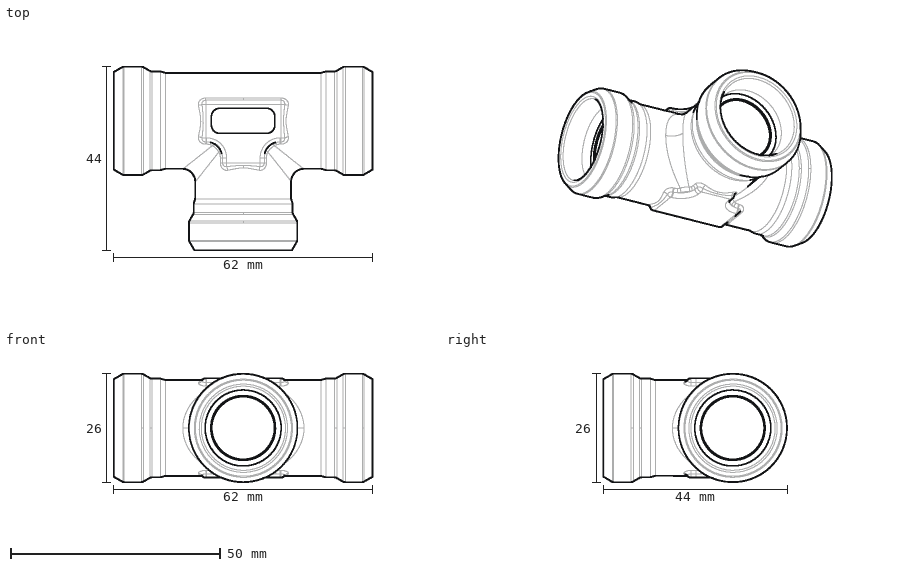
import cadquery as cq
import math

PORT_REACH = 31.0
PIPE_R = 23.0 / 2
NECK_R = 23.7 / 2
COLLAR_R = 26.0 / 2
BORE_R = 15.0 / 2
SEAT_R = 18.2 / 2

COLLAR_FRONT = 2.3
COLLAR_BACK = 6.9
NECK_END = 11.2
PIPE_START = 12.4
CONE_DEPTH = 5.0
SEAT_DEPTH = 7.5

COLLAR_SLOPE = math.radians(30)
CONE_HALF_ANGLE = math.radians(12)
BORE_CHAMFER = 0.25
FACE_ROUND = 0.3
COLLAR_FRONT_ROUND = 0.6
COLLAR_BACK_ROUND = 1.0
MOUTH_ROUND = 0.5
CROTCH_ROUND = 3.0

PAD_Z = 11.9
PAD_HALF_LENGTH = 10.0
PAD_HALF_WIDTH = 5.0
PAD_TONGUE_LENGTH = 11.0
PAD_INNER_R = 3.8
PAD_ROUND = 1.0
PAD_BLEND = 1.0
PAD_BASE_Z = PIPE_R / 2

RECESS_LENGTH = 15.2
RECESS_WIDTH = 6.0
RECESS_CORNER_R = 2.0
RECESS_DEPTH = 1.0

FACE_R = COLLAR_R - COLLAR_FRONT * math.tan(COLLAR_SLOPE)
NECK_START = COLLAR_BACK + (COLLAR_R - NECK_R) / math.tan(COLLAR_SLOPE)
MOUTH_R = SEAT_R + CONE_DEPTH * math.tan(CONE_HALF_ANGLE)

TOLERANCE = 0.01


def circles(body, height, radius):
    """Circular edges of a body of revolution about Z at one height and radius."""
    return body.newObject([
        edge for edge in body.edges("%CIRCLE").vals()
        if abs(edge.Center().z - height) < TOLERANCE and abs(edge.radius() - radius) < TOLERANCE
    ])


def revolve_about_z(outline):
    """Full revolution of a closed outline; its seam faces +Y, clear of the branch on the run arms."""
    return outline.close().revolve(360, (0, 0, 0), (0, 1, 0))


def arm_body():
    """Solid pipe arm from the tee centre up to the port face, with its collar."""
    body = revolve_about_z(cq.Workplane("YZ").polyline([
        (0, 0),
        (PIPE_R, 0),
        (PIPE_R, PORT_REACH - PIPE_START),
        (NECK_R, PORT_REACH - NECK_END),
        (NECK_R, PORT_REACH - NECK_START),
        (COLLAR_R, PORT_REACH - COLLAR_BACK),
        (COLLAR_R, PORT_REACH - COLLAR_FRONT),
        (FACE_R, PORT_REACH),
        (0, PORT_REACH),
    ]))
    body = circles(body, PORT_REACH - NECK_START, NECK_R).fillet(COLLAR_BACK_ROUND)
    body = circles(body, PORT_REACH - COLLAR_BACK, COLLAR_R).fillet(COLLAR_BACK_ROUND)
    body = circles(body, PORT_REACH - COLLAR_FRONT, COLLAR_R).fillet(COLLAR_FRONT_ROUND)
    return circles(body, PORT_REACH, FACE_R).fillet(FACE_ROUND)


def arm_cavity():
    """Bore, seat and conical mouth of one arm, with a rounded mouth edge."""
    tangent = MOUTH_ROUND * math.tan((math.pi / 2 - CONE_HALF_ANGLE) / 2)
    arc_centre = (MOUTH_R + tangent, PORT_REACH - MOUTH_ROUND)
    arc_start = (
        MOUTH_R - tangent * math.sin(CONE_HALF_ANGLE),
        PORT_REACH - tangent * math.cos(CONE_HALF_ANGLE),
    )
    middle_angle = (math.pi / 2 + math.pi - CONE_HALF_ANGLE) / 2
    arc_middle = (
        arc_centre[0] + MOUTH_ROUND * math.cos(middle_angle),
        arc_centre[1] + MOUTH_ROUND * math.sin(middle_angle),
    )
    outline = (
        cq.Workplane("YZ")
        .lineTo(BORE_R, 0)
        .lineTo(BORE_R, PORT_REACH - SEAT_DEPTH - BORE_CHAMFER)
        .lineTo(BORE_R + BORE_CHAMFER, PORT_REACH - SEAT_DEPTH)
        .lineTo(SEAT_R, PORT_REACH - SEAT_DEPTH)
        .lineTo(SEAT_R, PORT_REACH - CONE_DEPTH)
        .lineTo(*arc_start)
        .threePointArc(arc_middle, (arc_centre[0], PORT_REACH))
        .lineTo(0, PORT_REACH)
    )
    return revolve_about_z(outline)


def as_half_tee(arm):
    """Two copies of an arm built along Z, laid along +X and -Y."""
    run_arm = arm.rotate((0, 0, 0), (0, 1, 0), 90)
    branch = arm.rotate((0, 0, 0), (1, 0, 0), 90)
    return run_arm.union(branch)


def quarter_space():
    """Box that keeps the +X, +Z quarter of the part."""
    size = 2 * PORT_REACH
    return cq.Workplane("XY").box(size, 2 * size, size, centered=(False, True, False))


def half_pad():
    """The +X half of a raised T-shaped pad with rounded corners and rim."""
    arc_centre = PAD_HALF_WIDTH + PAD_INNER_R
    arc_middle = arc_centre - PAD_INNER_R * math.sqrt(0.5)
    block = (
        cq.Workplane("XY", origin=(0, 0, PAD_BASE_Z))
        .moveTo(0, PAD_HALF_WIDTH)
        .lineTo(PAD_HALF_LENGTH, PAD_HALF_WIDTH)
        .lineTo(PAD_HALF_LENGTH, -PAD_HALF_WIDTH)
        .lineTo(arc_centre, -PAD_HALF_WIDTH)
        .threePointArc((arc_middle, -arc_middle), (PAD_HALF_WIDTH, -arc_centre))
        .lineTo(PAD_HALF_WIDTH, -PAD_TONGUE_LENGTH)
        .lineTo(0, -PAD_TONGUE_LENGTH)
        .close()
        .extrude(PAD_Z - PAD_BASE_Z)
    )
    sharp_corners = (
        (PAD_HALF_LENGTH, PAD_HALF_WIDTH),
        (PAD_HALF_LENGTH, -PAD_HALF_WIDTH),
        (PAD_HALF_WIDTH, -PAD_TONGUE_LENGTH),
    )
    middle_z = (PAD_Z + PAD_BASE_Z) / 2
    for x, y in sharp_corners:
        corner_edge = block.edges(cq.NearestToPointSelector((x, y, middle_z)))
        block = corner_edge.fillet(PAD_ROUND)
    return block.faces(">Z").edges("not <X").fillet(PAD_ROUND)


def blend_pad_base(body):
    """Fillet the edges where the pad of the quarter body meets the pipe skin."""
    pad_box = cq.selectors.BoxSelector(
        (-TOLERANCE, PAD_HALF_WIDTH + TOLERANCE, PAD_BASE_Z),
        (PAD_HALF_LENGTH + TOLERANCE, -PAD_TONGUE_LENGTH - TOLERANCE, PAD_Z + TOLERANCE),
        boundingbox=True,
    )
    pad_faces = body.faces(pad_box).vals()
    skin_edges = [
        edge
        for face in body.faces().vals()
        if face.Center().x > TOLERANCE and not any(face.isSame(own) for own in pad_faces)
        for edge in face.Edges()
    ]
    base_edges = [
        edge
        for face in pad_faces
        for edge in face.Edges()
        if any(edge.isSame(other) for other in skin_edges)
    ]
    return body.newObject(base_edges).fillet(PAD_BLEND)


def quarter_body():
    """Solid +X, +Z quarter of the tee with crotch blend and pad, before boring."""
    body = as_half_tee(arm_body()).intersect(quarter_space())
    body = body.edges("%ELLIPSE").fillet(CROTCH_ROUND)
    return blend_pad_base(body.union(half_pad()))


def nameplate_recess():
    """Flat-bottomed recess with rounded corners, in the top pad only."""
    return (
        cq.Workplane("XY", origin=(0, 0, PAD_Z - RECESS_DEPTH))
        .rect(RECESS_LENGTH, RECESS_WIDTH)
        .extrude(RECESS_DEPTH)
        .edges("|Z")
        .fillet(RECESS_CORNER_R)
    )


def mirrored_pair(half, plane):
    """A half joined with its mirror image across a plane through the origin."""
    return half.union(half.mirror(plane))


tee = mirrored_pair(mirrored_pair(quarter_body(), "XY"), "YZ")
cavity = mirrored_pair(as_half_tee(arm_cavity()), "YZ")
result = tee.cut(cavity).cut(nameplate_recess())